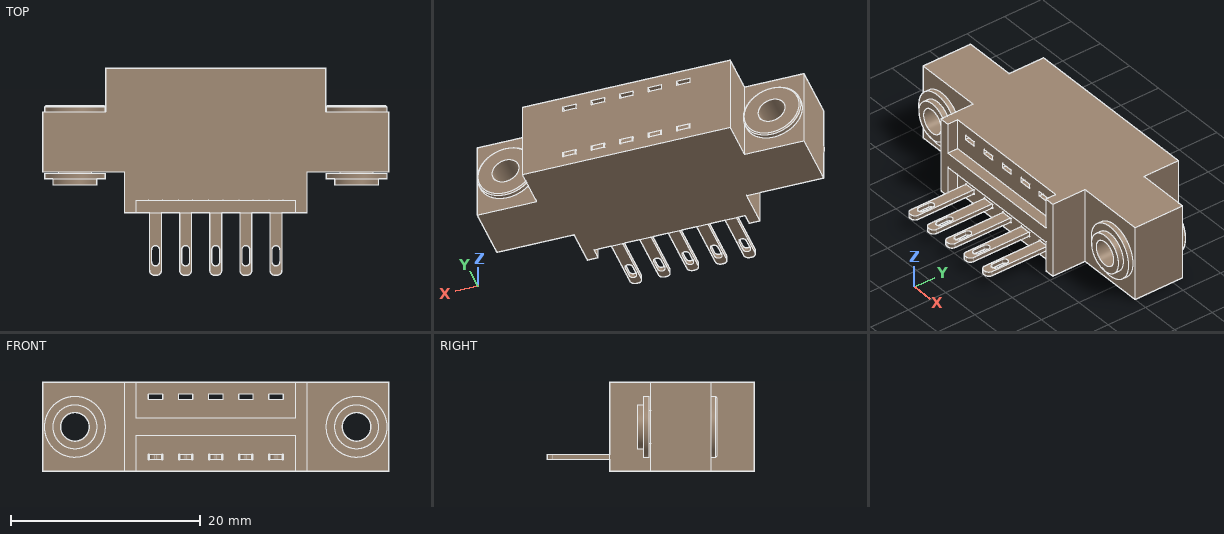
import cadquery as cq

OVERALL_WIDTH = 36.45
HEIGHT = 9.4
REAR_WIDTH = 23.2
REAR_DEPTH = 4.6
EAR_DEPTH = 6.35
FRONT_WIDTH = 19.25
BODY_DEPTH = 15.25
EAR_REAR_Y = -REAR_DEPTH
EAR_FRONT_Y = EAR_REAR_Y - EAR_DEPTH
FRONT_Y = -BODY_DEPTH

RECESS_WIDTH = 16.85
RECESS_DEPTH = 1.3
RIB_HEIGHT = 1.85
RECESS_HEIGHT = (HEIGHT - RIB_HEIGHT) / 2
RECESS_CENTRE_Z = (RIB_HEIGHT + RECESS_HEIGHT) / 2

CONTACT_COUNT = 5
CONTACT_PITCH = 3.17
ROW_Z = 3.17
SLOT_WIDTH = 1.5
SLOT_HEIGHT = 0.55

PIN_WIDTH = 1.28
PIN_THICKNESS = SLOT_HEIGHT
PIN_PROTRUSION = 6.6
PIN_TIP_RADIUS = 0.55
PIN_TIP_Y = FRONT_Y - PIN_PROTRUSION
EYE_WIDTH = 0.8
EYE_LENGTH = 2.1
EYE_CENTRE_TO_TIP = 2.08

BUSHING_X = 14.85
SHANK_DIAMETER = 3.5
FLANGE_DIAMETER = 6.4
COLLAR_DIAMETER = 4.63
BORE_DIAMETER = 3.0
REAR_FLANGE_THICKNESS = 0.65
REAR_FLANGE_CHAMFER = 0.15
FRONT_GAP = 0.15
FRONT_FLANGE_THICKNESS = 0.6
COLLAR_LENGTH = 0.65

contact_xs = [(i - (CONTACT_COUNT - 1) / 2) * CONTACT_PITCH for i in range(CONTACT_COUNT)]
bushing_xs = [-BUSHING_X, BUSHING_X]


def block(width, height, y_rear, y_front, x=0.0, z=0.0):
    """Box of the given X width and Z height, centred on x and z, between two Y positions."""
    depth = y_rear - y_front
    return cq.Workplane("XY").box(width, depth, height).translate((x, (y_rear + y_front) / 2, z))


def disc(diameter, y_rear, y_front, x):
    """Cylinder along Y between two Y positions, centred on x and Z = 0."""
    start = cq.Workplane("XZ", origin=(x, y_rear, 0))
    return start.circle(diameter / 2).extrude(y_rear - y_front)


def make_housing():
    body = block(REAR_WIDTH, HEIGHT, 0, EAR_REAR_Y)
    body = body.union(block(OVERALL_WIDTH, HEIGHT, EAR_REAR_Y, EAR_FRONT_Y))
    body = body.union(block(FRONT_WIDTH, HEIGHT, EAR_FRONT_Y, FRONT_Y))

    for side in (-1, 1):
        recess_z = side * RECESS_CENTRE_Z
        body = body.cut(block(RECESS_WIDTH, RECESS_HEIGHT, FRONT_Y + RECESS_DEPTH, FRONT_Y, z=recess_z))
        for x in contact_xs:
            body = body.cut(block(SLOT_WIDTH, SLOT_HEIGHT, 0, FRONT_Y, x, side * ROW_Z))

    for x in bushing_xs:
        body = body.cut(disc(SHANK_DIAMETER, EAR_REAR_Y, EAR_FRONT_Y, x))
    return body


def make_pin(x):
    """Flat pin lying in a lower slot from the rear face out past the front, with an eye near its tip."""
    pin = block(PIN_WIDTH, PIN_THICKNESS, 0, PIN_TIP_Y, x, -ROW_Z)
    pin = pin.faces("<Y").edges("|Z").fillet(PIN_TIP_RADIUS)
    eye = (
        cq.Workplane("XY", origin=(x, PIN_TIP_Y + EYE_CENTRE_TO_TIP, -ROW_Z))
        .slot2D(EYE_LENGTH, EYE_WIDTH, 90)
        .extrude(PIN_THICKNESS, both=True)
    )
    return pin.cut(eye)


def make_bushing(x):
    """Flanged tube clamped through an ear."""
    rear_y = EAR_REAR_Y + REAR_FLANGE_THICKNESS
    flange_rear_y = EAR_FRONT_Y - FRONT_GAP
    flange_front_y = flange_rear_y - FRONT_FLANGE_THICKNESS
    collar_front_y = flange_front_y - COLLAR_LENGTH

    rear_flange = disc(FLANGE_DIAMETER, rear_y, EAR_REAR_Y, x)
    rear_flange = rear_flange.faces(">Y").edges().chamfer(REAR_FLANGE_CHAMFER)
    shank = disc(SHANK_DIAMETER, EAR_REAR_Y, flange_rear_y, x)
    front_flange = disc(FLANGE_DIAMETER, flange_rear_y, flange_front_y, x)
    collar = disc(COLLAR_DIAMETER, flange_front_y, collar_front_y, x)
    bore = disc(BORE_DIAMETER, rear_y, collar_front_y, x)
    return rear_flange.union(shank).union(front_flange).union(collar).cut(bore)


housing = make_housing()
pins = [make_pin(x) for x in contact_xs]
bushings = [make_bushing(x) for x in bushing_xs]

result = cq.Compound.makeCompound([
    housing.val(),
    *[pin.val() for pin in pins],
    *[bushing.val() for bushing in bushings],
])